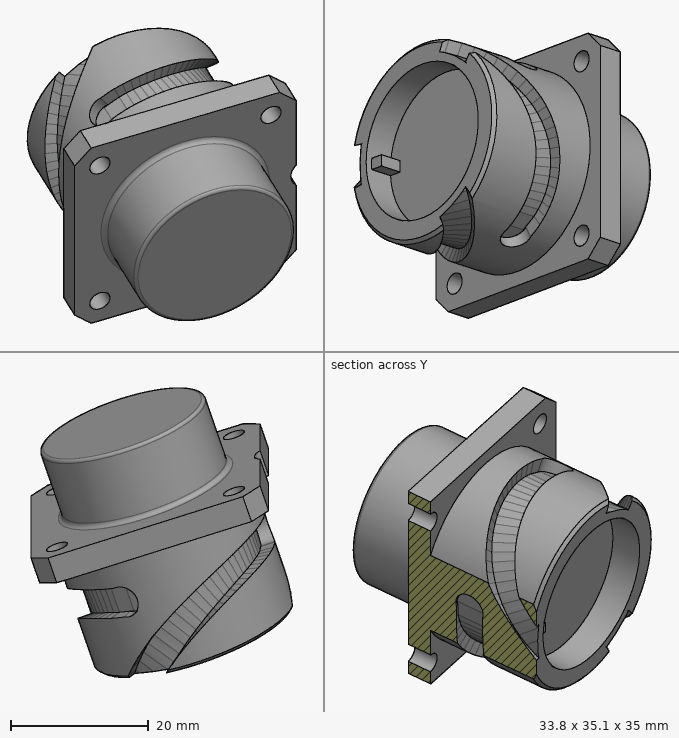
import cadquery as cq
import math

total_length = 33.82
flange_size = 35.05
flange_front = 19.03
flange_thickness = 4.0
flange_back = flange_front + flange_thickness
flange_corner_chamfer = 2.63

shell_radius = 15.35
shell_chamfer = 0.53
cavity_radius = 11.95
cavity_depth = 4.8

sleeve_radius = 12.62
rim_fillet = 0.5
root_fillet = 0.75

hole_offset = 13.53
hole_diameter = 3.2
notch_radius = 2.87
notch_depth = 0.85

key_width = 1.75
key_reach = 2.1
key_length = 3.7
key_embed = 0.7

slot_count = 3
slot_width = 4.63
slot_floor_radius = 13.3
slot_end_x = 12.05
slot_mouth_angle = 60.5
slot_level_angle = -51.0
slot_end_angle = -62.5
slot_curve_power = 2.3
slot_end_diameter = 4.8
slot_steps = 25
slot_overrun_angle = 20.0
cutter_clearance = 1.4
cutter_outer_radius = shell_radius + cutter_clearance


def disc(radius, x_start, length):
    """Cylinder around the X axis."""
    return cq.Workplane("YZ").workplane(offset=x_start).circle(radius).extrude(length)


def make_body():
    """Front shell and rear sleeve as one turned profile."""
    root_middle = root_fillet * (1 - math.sqrt(0.5))
    rim_middle = rim_fillet * (1 - math.sqrt(0.5))
    profile = (
        cq.Workplane("XY")
        .lineTo(0, shell_radius - shell_chamfer)
        .lineTo(shell_chamfer, shell_radius)
        .lineTo(flange_back, shell_radius)
        .lineTo(flange_back, sleeve_radius + root_fillet)
        .threePointArc(
            (flange_back + root_middle, sleeve_radius + root_middle),
            (flange_back + root_fillet, sleeve_radius),
        )
        .lineTo(total_length - rim_fillet, sleeve_radius)
        .threePointArc(
            (total_length - rim_middle, sleeve_radius - rim_middle),
            (total_length, sleeve_radius - rim_fillet),
        )
        .lineTo(total_length, 0)
        .close()
    )
    return profile.revolve(360, (0, 0, 0), (1, 0, 0))


def make_flange():
    """Square plate with cut corners, four holes and a notch in the +Y edge."""
    plate = (
        cq.Workplane("YZ")
        .workplane(offset=flange_front)
        .rect(flange_size, flange_size)
        .extrude(flange_thickness)
        .edges("|X")
        .chamfer(flange_corner_chamfer)
    )
    notch_centre = flange_size / 2 + notch_radius - notch_depth
    holes = (
        cq.Workplane("YZ")
        .workplane(offset=flange_front)
        .rect(2 * hole_offset, 2 * hole_offset, forConstruction=True)
        .vertices()
        .circle(hole_diameter / 2)
        .extrude(flange_thickness)
    )
    notch = disc(notch_radius, flange_front, flange_thickness).translate((0, notch_centre, 0))
    return plate.cut(holes).cut(notch)


def outward_direction(angle):
    """Unit vector pointing away from the X axis at the given slot angle."""
    turn = math.radians(angle)
    return cq.Vector(0, -math.cos(turn), math.sin(turn))


def slot_section(angle):
    """Rectangular cutter section square to the slot path at the given angle."""
    progress = max(angle - slot_level_angle, 0) / (slot_mouth_angle - slot_level_angle)
    full_arc = math.radians(slot_mouth_angle - slot_level_angle) * shell_radius
    x = slot_end_x * (1 - progress**slot_curve_power)
    slope = slot_curve_power * slot_end_x / full_arc * progress ** (slot_curve_power - 1)
    tilt = math.atan(slope)

    outward = outward_direction(angle)
    around = outward_direction(angle + 90)
    across = cq.Vector(math.cos(tilt), 0, 0) + around * math.sin(tilt)
    half = across * (slot_width / 2)
    floor = cq.Vector(x, 0, 0) + outward * slot_floor_radius
    top = cq.Vector(x, 0, 0) + outward * cutter_outer_radius
    corners = [floor - half, floor + half, top + half, top - half]
    return cq.Wire.makePolygon(corners, close=True)


def make_slot_cutter():
    """Faceted curved channel running from the front rim to a round end."""
    start_angle = slot_mouth_angle + slot_overrun_angle
    step = (start_angle - slot_level_angle) / slot_steps
    angles = [slot_end_angle] + [slot_level_angle + i * step for i in range(slot_steps + 1)]
    channel = cq.Solid.makeLoft([slot_section(a) for a in angles], True)

    outward = outward_direction(slot_end_angle)
    round_end = cq.Solid.makeCylinder(
        slot_end_diameter / 2,
        cutter_outer_radius - slot_floor_radius,
        cq.Vector(slot_end_x, 0, 0) + outward * slot_floor_radius,
        outward,
    )
    return cq.Workplane(obj=channel).union(cq.Workplane(obj=round_end))


def make_key():
    """Small bar standing on the cavity floor against its wall."""
    key = cq.Workplane("XY").box(
        key_length + key_embed, key_reach + key_embed, key_width, centered=(False, False, True)
    )
    return key.translate((cavity_depth - key_length, cavity_radius - key_reach, 0))


result = make_body().union(make_flange())
result = result.cut(disc(cavity_radius, 0, cavity_depth))
result = result.union(make_key())
slot_cutter = make_slot_cutter()
for i in range(slot_count):
    result = result.cut(slot_cutter.rotate((0, 0, 0), (1, 0, 0), i * 360 / slot_count))